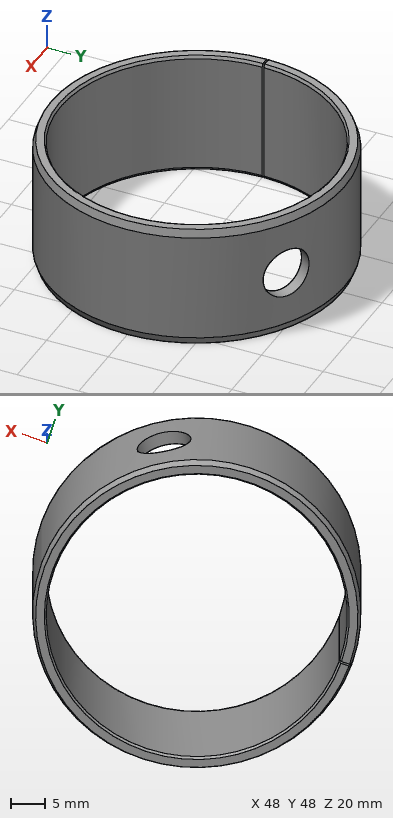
import cadquery as cq
import math

outer_diameter = 48.0
inner_diameter = 44.0
height = 20.0

outer_bevel_height = 1.25
outer_bevel_angle = 20.0
inner_bevel_height = 0.5
inner_bevel_angle = 30.0

split_width = 0.3
split_center_y = 0.25

hole_diameter = 8.0
hole_angle = 59.0

outer_radius = outer_diameter / 2
inner_radius = inner_diameter / 2
half_height = height / 2
outer_bevel_depth = outer_bevel_height * math.tan(math.radians(outer_bevel_angle))
inner_bevel_depth = inner_bevel_height * math.tan(math.radians(inner_bevel_angle))


def make_ring():
    """Revolve the bevelled wall section about Z."""
    bevel_start = half_height - outer_bevel_height
    end_face_radius = outer_radius - outer_bevel_depth
    section = [
        (inner_radius, half_height - inner_bevel_height),
        (inner_radius + inner_bevel_depth, half_height),
        (end_face_radius, half_height),
        (outer_radius, bevel_start),
        (outer_radius, -bevel_start),
        (end_face_radius, -half_height),
        (inner_radius + inner_bevel_depth, -half_height),
        (inner_radius, -half_height + inner_bevel_height),
    ]
    return cq.Workplane("XZ").polyline(section).close().revolve(360, (0, 0, 0), (0, 1, 0))


def make_split():
    """Slot cutter reaching from the axis out through the -X wall."""
    return (
        cq.Workplane("XY")
        .box(outer_diameter, split_width, height)
        .translate((-outer_radius, split_center_y, 0))
    )


def make_hole():
    """Radial cylinder reaching from the axis out through one wall."""
    cylinder = cq.Workplane("YZ").circle(hole_diameter / 2).extrude(outer_diameter)
    return cylinder.rotate((0, 0, 0), (0, 0, 1), hole_angle)


result = make_ring().cut(make_split()).cut(make_hole())